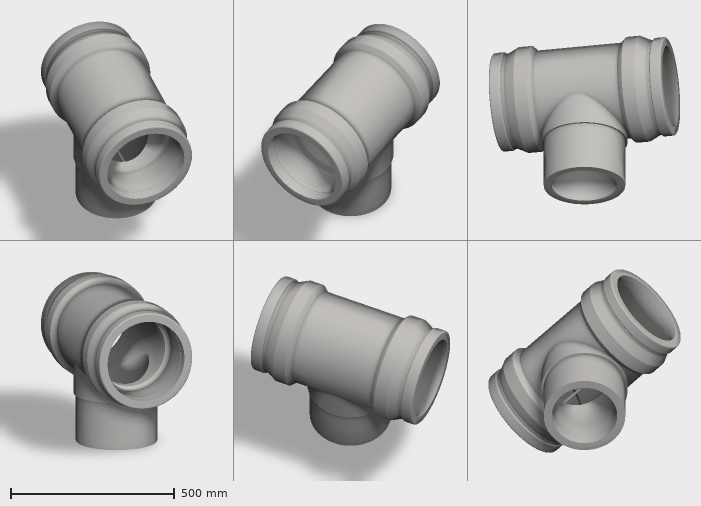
import cadquery as cq

run_length = 538.0
body_diameter = 294.5
bore_diameter = 225.0

collar_diameter = 303.5
collar_rounding = 5.1
collar_length = 36.5
bulge_diameter = 326.0
neck_end = 47.0
bulge_start = 80.0
bulge_end = 120.5
socket_end = 136.5
socket_diameter = 250.0
socket_depth = 128.5
bore_taper_end = 141.0
neck_diameter = collar_diameter - 2 * collar_rounding

groove_diameter = 2.0
groove_position = 34.0

overall_height = 478.0
branch_diameter = 250.0
branch_bore_diameter = 200.0
saddle_diameter = 264.5
saddle_drop = 164.0
branch_drop = overall_height - bulge_diameter / 2


def make_socket_shell():
    """Solid outer form of the left half of the run, revolved about X."""
    mouth = -run_length / 2
    neck_radius = neck_diameter / 2
    body_radius = body_diameter / 2
    bulge_radius = bulge_diameter / 2
    collar_radius = collar_diameter / 2
    arc_offset = collar_rounding * 0.5 ** 0.5
    arc_radius = neck_radius + arc_offset
    front_center = mouth + collar_rounding
    back_center = mouth + collar_length - collar_rounding
    profile = (
        cq.Workplane("XY")
        .moveTo(mouth, 0)
        .lineTo(mouth, neck_radius)
        .threePointArc((front_center - arc_offset, arc_radius), (front_center, collar_radius))
        .lineTo(back_center, collar_radius)
        .threePointArc((back_center + arc_offset, arc_radius), (mouth + collar_length, neck_radius))
        .lineTo(mouth + neck_end, neck_radius)
        .lineTo(mouth + bulge_start, bulge_radius)
        .lineTo(mouth + bulge_end, bulge_radius)
        .lineTo(mouth + socket_end, body_radius)
        .lineTo(0, body_radius)
        .lineTo(0, 0)
        .close()
    )
    return profile.revolve(360, (0, 0, 0), (1, 0, 0))


def make_socket_cavity():
    """Left half of the bore: grooved socket, taper and through bore."""
    mouth = -run_length / 2
    socket_radius = socket_diameter / 2
    bore_radius = bore_diameter / 2
    groove_radius = groove_diameter / 2
    groove_center = mouth + groove_position
    profile = (
        cq.Workplane("XY")
        .moveTo(mouth, 0)
        .lineTo(mouth, socket_radius)
        .lineTo(groove_center - groove_radius, socket_radius)
        .threePointArc(
            (groove_center, socket_radius + groove_radius),
            (groove_center + groove_radius, socket_radius),
        )
        .lineTo(mouth + socket_depth, socket_radius)
        .lineTo(mouth + bore_taper_end, bore_radius)
        .lineTo(0, bore_radius)
        .lineTo(0, 0)
        .close()
    )
    return profile.revolve(360, (0, 0, 0), (1, 0, 0))


def add_mirrored(half):
    """Join a half with its mirror image across the YZ plane."""
    return half.union(half.mirror("YZ"))


def make_downward_cylinder(diameter, length):
    """Cylinder from the run axis down along -Z."""
    return cq.Workplane("XY").circle(diameter / 2).extrude(-length)


saddle = make_downward_cylinder(saddle_diameter, saddle_drop)
branch = make_downward_cylinder(branch_diameter, branch_drop)
branch_bore = make_downward_cylinder(branch_bore_diameter, branch_drop)

outer_form = add_mirrored(make_socket_shell()).union(saddle).union(branch)
result = outer_form.cut(add_mirrored(make_socket_cavity())).cut(branch_bore)